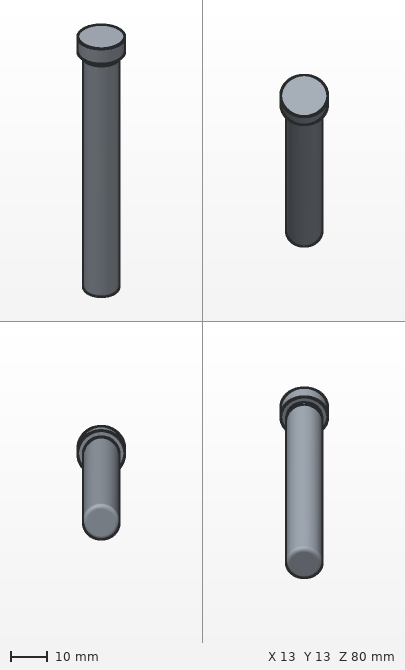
import cadquery as cq

total_length = 80.0
head_diameter = 13.0
head_height = 5.0
head_edge_chamfer = 0.2
shank_diameter = 10.0
neck_diameter = 9.5
neck_height = 1.5
neck_taper = 0.2
tip_radius = 1.2

head_radius = head_diameter / 2
neck_radius = neck_diameter / 2
shank_radius = shank_diameter / 2

head_bottom = total_length - head_height
neck_bottom = head_bottom - neck_height

shank = (
    cq.Workplane("XY")
    .circle(shank_radius)
    .extrude(neck_bottom)
    .faces("<Z").edges().fillet(tip_radius)
)

neck_foot = (
    cq.Workplane("XY", origin=(0, 0, neck_bottom))
    .circle(shank_radius)
    .workplane(offset=neck_taper)
    .circle(neck_radius)
    .loft(ruled=True)
)
neck = (
    cq.Workplane("XY", origin=(0, 0, neck_bottom))
    .circle(neck_radius)
    .extrude(neck_height)
)

head = (
    cq.Workplane("XY", origin=(0, 0, head_bottom))
    .circle(head_radius)
    .extrude(head_height)
    .faces("<Z or >Z").edges().chamfer(head_edge_chamfer)
)

result = shank.union(neck_foot).union(neck).union(head)